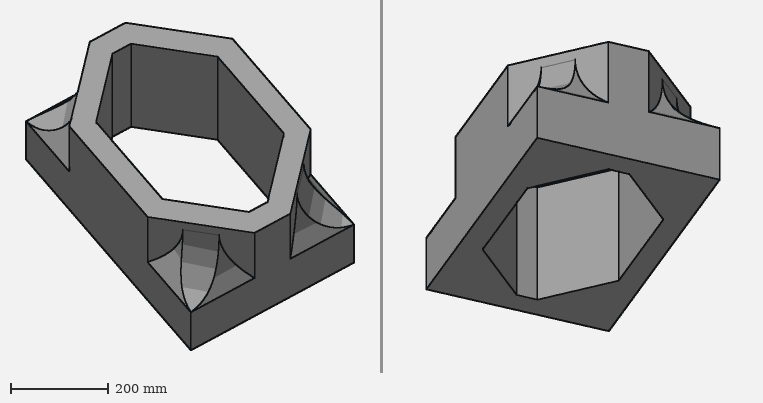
import cadquery as cq
import math

length = 603.0
width = 406.5
height = 279.5

corner_cut = 158.5
wall = 52.0
base_height = 128.0

flare_height = 126.5
side_inset = 52.5
diagonal_run = corner_cut / math.sqrt(2)
wall_overlap = wall / 2


def curved_profile(run, depth):
    """XZ face under a concave arc that rises from the origin and ends vertical."""
    radius = (run**2 + flare_height**2) / (2 * run)
    half_angle = math.asin(flare_height / radius) / 2
    middle = (
        run - radius * (1 - math.cos(half_angle)),
        flare_height - radius * math.sin(half_angle),
    )
    return (
        cq.Workplane("XZ")
        .moveTo(0, 0)
        .threePointArc(middle, (run, flare_height))
        .lineTo(depth, flare_height)
        .lineTo(depth, 0)
        .close()
    )


def buttress():
    """Corner flare in the (+X, +Y) quadrant, with the outer base corner at the origin."""
    x_side = curved_profile(side_inset, length / 2).extrude(-width / 2)
    y_side = x_side.rotate((0, 0, 0), (0, 0, 1), 90).mirror("YZ")
    diagonal = (
        curved_profile(diagonal_run, diagonal_run + wall_overlap)
        .extrude(length / 2, both=True)
        .rotate((0, 0, 0), (0, 0, 1), 45)
    )
    return x_side.intersect(y_side).intersect(diagonal)


def octagon_prism(size_x, size_y, cut):
    """Full-height block with its four upright edges cut at 45 degrees."""
    return cq.Workplane("XY").rect(size_x, size_y).extrude(height).edges("|Z").chamfer(cut)


base = cq.Workplane("XY").rect(length, width).extrude(base_height)
ring = octagon_prism(length, width, corner_cut)
body = base.union(ring)

near_left = buttress().translate((-length / 2, -width / 2, base_height))
near_right = near_left.mirror("YZ")
for flare in (near_left, near_right):
    body = body.union(flare).union(flare.mirror("XZ"))

opening_cut = corner_cut - wall * (2 - math.sqrt(2))
opening = octagon_prism(length - 2 * wall, width - 2 * wall, opening_cut)
result = body.cut(opening)